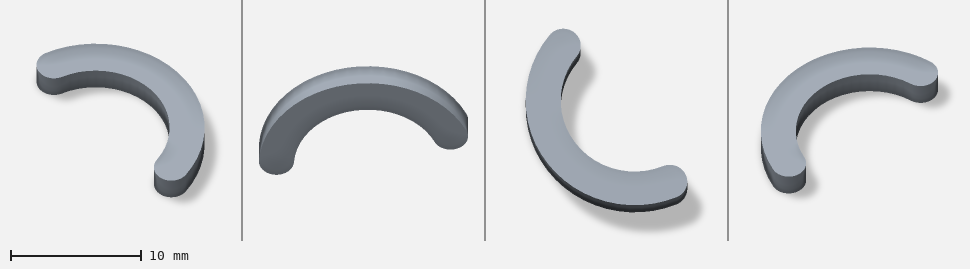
import cadquery as cq
import math

overall_width = 16.23
thickness = 2.0
band_width = 2.68
mid_radius = 7.0

end_radius = band_width / 2
outer_radius = mid_radius + end_radius
inner_radius = mid_radius - end_radius

end_angle = math.acos((overall_width / 2 - end_radius) / mid_radius)


def polar(radius, angle):
    """Point at a radius and angle about the arc centre."""
    return (radius * math.cos(angle), radius * math.sin(angle))


def end_tip(angle, side):
    """Farthest point of a rounded end, beyond the end centre along the band."""
    x, y = polar(mid_radius, angle)
    return (x + side * end_radius * math.sin(angle), y - side * end_radius * math.cos(angle))


right_end_angle = end_angle
left_end_angle = math.pi - end_angle

result = (
    cq.Workplane("XY")
    .moveTo(*polar(outer_radius, right_end_angle))
    .threePointArc((0, outer_radius), polar(outer_radius, left_end_angle))
    .threePointArc(end_tip(left_end_angle, -1), polar(inner_radius, left_end_angle))
    .threePointArc((0, inner_radius), polar(inner_radius, right_end_angle))
    .threePointArc(end_tip(right_end_angle, 1), polar(outer_radius, right_end_angle))
    .close()
    .extrude(thickness)
)